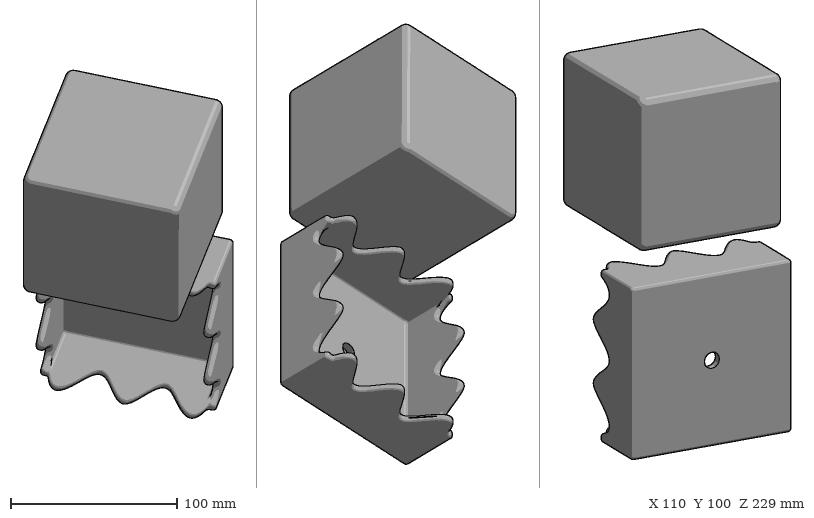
import cadquery as cq

HOLDER_SIZE = 110.0
HOLDER_DEPTH = 50.0
WALL = 5.0
HOLDER_ROUND = 2.3
HOLE_DIAMETER = 10.0

WAVE_HEIGHT = 20.0
HALF_WAVE = 20.4

BLOCK_WIDTH = 98.0
BLOCK_DEPTH = 100.0
BLOCK_ROUND = 5.0
OVERALL_HEIGHT = 229.0

CAVITY_SIZE = HOLDER_SIZE - 2 * WALL
CREST_Y = -HOLDER_DEPTH
TROUGH_Y = CREST_Y + WAVE_HEIGHT
CORNER_Y = (CREST_Y + TROUGH_Y) / 2
BLOCK_TOP = OVERALL_HEIGHT - HOLDER_SIZE / 2

CUT_MARGIN = 2.3
BLANK_DEPTH = HOLDER_DEPTH + CUT_MARGIN

UPRIGHT = cq.Plane(origin=(0, 0, 0), xDir=(0, 0, 1), normal=(-1, 0, 0))


def box_behind(front_size, depth, back_y):
    """Square box, centred on X and Z, that reaches from back_y toward -Y."""
    return cq.Workplane("XY").box(front_size, depth, front_size).translate((0, back_y - depth / 2, 0))


def rim_cutter(plane, middle_y, beside_y):
    """Cutter for one wall: all that lies in front of a wave running along the wall.

    The wave passes middle_y at the wall centre and beside_y half a wave away on
    either side. At the cavity corners it meets the flat corner height.
    """
    half_cavity = CAVITY_SIZE / 2
    half_length = HOLDER_SIZE / 2 + CUT_MARGIN
    front_y = -BLANK_DEPTH - CUT_MARGIN
    quarter_heights = (middle_y, CORNER_Y, beside_y, CORNER_Y)
    wave = [(step * HALF_WAVE / 2, quarter_heights[step % 4]) for step in range(-4, 5)]
    wave.append((half_cavity, CORNER_Y))
    return (
        cq.Workplane(plane)
        .moveTo(-half_length, front_y)
        .lineTo(-half_length, CORNER_Y)
        .lineTo(-half_cavity, CORNER_Y)
        .spline(wave, includeCurrent=True)
        .lineTo(half_length, CORNER_Y)
        .lineTo(half_length, front_y)
        .close()
        .extrude(WALL)
    )


def make_holder():
    tray = box_behind(HOLDER_SIZE, BLANK_DEPTH, 0).cut(box_behind(CAVITY_SIZE, BLANK_DEPTH, -WALL))

    side_cutter = rim_cutter(UPRIGHT, TROUGH_Y, CREST_Y)
    level_cutter = rim_cutter("XY", CREST_Y, TROUGH_Y)
    for wall_start in (-HOLDER_SIZE / 2, CAVITY_SIZE / 2):
        tray = tray.cut(side_cutter.translate((wall_start + WALL, 0, 0)))
        tray = tray.cut(level_cutter.translate((0, 0, wall_start)))

    tray = tray.edges().fillet(HOLDER_ROUND)
    hole = cq.Workplane("XZ").circle(HOLE_DIAMETER / 2).extrude(WALL)
    return tray.cut(hole)


def make_block():
    block = box_behind(BLOCK_WIDTH, BLOCK_DEPTH, 0).edges().fillet(BLOCK_ROUND)
    return block.translate((0, 0, BLOCK_TOP - BLOCK_WIDTH / 2))


holder = make_holder()
block = make_block()
result = cq.Compound.makeCompound([holder.val(), block.val()])